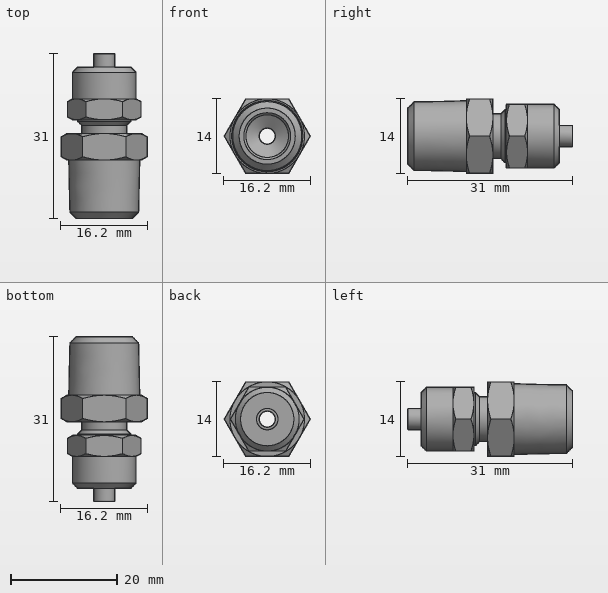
import cadquery as cq
import math

total_length = 31.0
thread_length = 11.0
body_hex_length = 5.0
neck_length = 1.52
collar_rim_length = 0.25
nut_hex_length = 4.0
nut_sleeve_length = 5.0
nut_chamfer = 1.0

thread_root_radius = 6.7
thread_end_radius = 6.48
thread_chamfer = 1.2
body_hex_flats = 14.0
nut_flats = 12.0
nut_face_setback = 0.12
neck_radius = 4.25
collar_radius = 5.0
stem_radius = 2.0
stem_tip_fillet = 0.2
hex_chamfer_angle = 30.0

hole_radius = 1.5
bore_radius = 4.0
bore_chamfer = 0.4
bore_depth = 15.5
drill_tip_angle = 118.0

body_hex_start = thread_length
neck_start = body_hex_start + body_hex_length
collar_start = neck_start + neck_length
collar_cone_end = collar_start + collar_radius - neck_radius
nut_hex_start = collar_cone_end + collar_rim_length
sleeve_start = nut_hex_start + nut_hex_length
sleeve_end = sleeve_start + nut_sleeve_length
nut_end = sleeve_end + nut_chamfer


def revolve_profile(points):
    """Revolve (radius, y) points around the Y axis."""
    return cq.Workplane("XY").polyline(points).close().revolve(360, (0, 0), (0, 1))


def chamfered_hex(flats, start, length, start_setback=0.0):
    """Hexagonal prism along Y, corners on +X and -X, both ends turned down to the flats.

    start_setback narrows the flat face at the start to a circle inside the flats.
    """
    flat_radius = flats / 2
    corner_radius = flat_radius / math.cos(math.pi / 6)
    slope = math.tan(math.radians(hex_chamfer_angle))
    drop = (corner_radius - flat_radius) * slope
    start_drop = drop + start_setback * slope
    end = start + length
    prism = (
        cq.Workplane("XZ", origin=(0, start, 0))
        .polygon(6, 2 * corner_radius)
        .extrude(-length)
    )
    envelope = revolve_profile([
        (0, start),
        (flat_radius - start_setback, start),
        (corner_radius, start + start_drop),
        (corner_radius, end - drop),
        (flat_radius, end),
        (0, end),
    ])
    return prism.intersect(envelope)


def turned_body():
    """All round outer surfaces; the hexagons cover the steps at their own stations."""
    return revolve_profile([
        (0, 0),
        (thread_end_radius - thread_chamfer, 0),
        (thread_end_radius, thread_chamfer),
        (thread_root_radius, thread_length),
        (neck_radius, thread_length),
        (neck_radius, collar_start),
        (collar_radius, collar_cone_end),
        (collar_radius, sleeve_start),
        (nut_flats / 2, sleeve_start),
        (nut_flats / 2, sleeve_end),
        (nut_flats / 2 - nut_chamfer, nut_end),
        (0, nut_end),
    ])


def stem():
    """Tube stem standing out of the nut, with a rounded tip."""
    return (
        cq.Workplane("XZ", origin=(0, nut_end, 0))
        .circle(stem_radius)
        .extrude(nut_end - total_length)
        .faces(">Y")
        .edges()
        .fillet(stem_tip_fillet)
    )


def bore():
    """Chamfered wide bore, drill cone and through hole."""
    cone_length = (bore_radius - hole_radius) / math.tan(math.radians(drill_tip_angle / 2))
    cone_end = bore_depth + cone_length
    return revolve_profile([
        (0, 0),
        (bore_radius + bore_chamfer, 0),
        (bore_radius, bore_chamfer),
        (bore_radius, bore_depth),
        (hole_radius, cone_end),
        (hole_radius, total_length),
        (0, total_length),
    ])


result = (
    turned_body()
    .union(chamfered_hex(body_hex_flats, body_hex_start, body_hex_length))
    .union(chamfered_hex(nut_flats, nut_hex_start, nut_hex_length, nut_face_setback))
    .union(stem())
    .cut(bore())
)